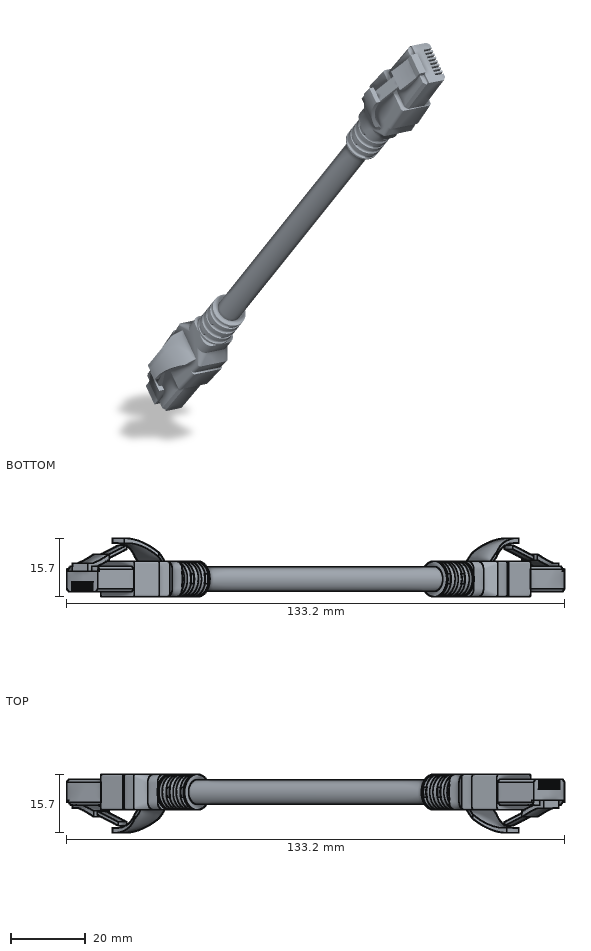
import cadquery as cq
import math

overall = 133.2
cable_radius = 3.3

plug_half_width = 5.9
plug_half_height = 3.5
plug_chamfer = 0.8
plug_end = overall / 2 * math.sqrt(2) - plug_half_width
plug_root_half_width = 6.1
end_step_length = 0.7
end_step_height = 1.3

contact_count = 8
contact_pitch = 1.0
contact_width = 0.5
contact_depth = 2.7
contact_length = 5.3

boot_half_height = 4.8
boot_end = 75.0
barb_start = 66.0
flare_end = 62.0
flare_start = 58.9
neck_start = 55.1
neck_half_width = 4.7
neck_radius = 2.3
flare_half_width = 6.8
barb_half_width = 6.9
boot_half_width = 6.4
boot_radius = 0.7

relief_start = 44.7
relief_radius = boot_half_height
first_groove = 45.3
groove_pitch = 2.7
groove_width = 1.2
groove_count = 4
web_width = 2.7
web_radius = 4.5

hood_root_start = 61.7
hood_root_end = 62.9
hood_outer_middle = (65.8, -8.5)
hood_inner_middle = (66.6, -7.9)
hood_inner_flat_start = 73.0
hood_tip = 74.6
hood_bottom = -10.9
hood_tip_thickness = 1.3
hood_root_half_width = 4.5
hood_taper_start = 63.9
hood_taper_middle = 68.2
hood_taper_middle_half_width = 2.9
hood_tip_half_width = 2.3

latch_half_width = 2.9
latch_nose = plug_end + 0.8
latch_root = -2.1
latch_root_start = 86.5
latch_bottom = -4.3
latch_swell_start = 87.0
latch_swell_middle = (83.9, -5.3)
latch_shoulder = 81.0
latch_shoulder_bottom = -6.7
latch_shoulder_top = -5.0
latch_inner_bend = (85.9, -3.2)
arm_half_width = 1.6
arm_thickness = 1.0
arm_start = 83.9
arm_start_top = -4.0
arm_end = 73.0
arm_end_top = -8.0


def x_cylinder(radius, start, end):
    return cq.Workplane("YZ").workplane(offset=start).circle(radius).extrude(end - start)


def box(start, end, half_height, half_width):
    size = (end - start, 2 * half_height, 2 * half_width)
    return cq.Workplane("XY").box(*size).translate(((start + end) / 2, 0, 0))


def side_profile(start):
    """Start an outline in the X-Y plane."""
    return cq.Workplane("XY").moveTo(*start)


def extrude_across(outline, half_width):
    return outline.close().extrude(half_width, both=True)


def boot_section(half_width, radius):
    return cq.Sketch().rect(2 * boot_half_height, 2 * half_width).vertices().fillet(radius)


def boot_segment(start, start_section, end, end_section):
    plane = cq.Workplane("YZ").workplane(offset=start)
    last = end_section.moved(cq.Location(cq.Vector(0, 0, end - start)))
    return plane.placeSketch(start_section, last).loft(ruled=True)


def make_boot():
    neck = boot_section(neck_half_width, neck_radius)
    flare = boot_section(flare_half_width, boot_radius)
    barb = boot_section(barb_half_width, boot_radius)
    mouth = boot_section(boot_half_width, boot_radius)
    boot = boot_segment(neck_start, neck, flare_start, neck)
    boot = boot.union(boot_segment(flare_start, neck, flare_end, flare))
    boot = boot.union(boot_segment(flare_end, flare, barb_start, mouth))
    return boot.union(boot_segment(barb_start, barb, boot_end, mouth))


def make_strain_relief():
    relief = x_cylinder(relief_radius, relief_start, neck_start)
    for index in range(groove_count):
        start = first_groove + index * groove_pitch
        end = start + groove_width
        webs_across = index % 2 == 0
        if webs_across:
            bridge = box(start, end, web_width / 2, relief_radius)
        else:
            bridge = box(start, end, relief_radius, web_width / 2)
        webs = x_cylinder(web_radius, start, end).intersect(bridge)
        groove = x_cylinder(relief_radius, start, end)
        core = x_cylinder(cable_radius, start, end)
        relief = relief.cut(groove).union(core).union(webs)
    return relief


def make_plug():
    plug = (
        cq.Workplane("XZ")
        .moveTo(barb_start, -plug_root_half_width)
        .lineTo(boot_end, -plug_root_half_width)
        .lineTo(plug_end, -plug_half_width)
        .lineTo(plug_end, plug_half_width)
        .lineTo(boot_end, plug_root_half_width)
        .lineTo(barb_start, plug_root_half_width)
        .close()
        .extrude(plug_half_height, both=True)
    )
    plug = plug.faces("<Y or >Y").edges("not |Z").chamfer(plug_chamfer)
    end_step = box(plug_end - end_step_length, plug_end, end_step_height, plug_half_width)
    plug = plug.cut(end_step.translate((0, -plug_half_height, 0)))
    slot = cq.Workplane("XY").box(contact_length, contact_depth, contact_width)
    for index in range(contact_count):
        z = (index - (contact_count - 1) / 2) * contact_pitch
        x = plug_end - contact_length / 2
        plug = plug.cut(slot.translate((x, plug_half_height - contact_depth / 2, z)))
    return plug


def make_hood():
    inner_bottom = hood_bottom + hood_tip_thickness
    root = -boot_half_height + boot_radius
    side = (
        side_profile((hood_root_start, root))
        .lineTo(hood_root_start, -boot_half_height)
        .threePointArc(hood_outer_middle, (hood_tip, hood_bottom))
        .lineTo(hood_tip, inner_bottom)
        .lineTo(hood_inner_flat_start, inner_bottom)
        .threePointArc(hood_inner_middle, (hood_root_end, -boot_half_height))
        .lineTo(hood_root_end, root)
    )
    shell = extrude_across(side, hood_root_half_width)
    plan = (
        cq.Workplane("XZ")
        .moveTo(hood_root_start, -hood_root_half_width)
        .lineTo(hood_taper_start, -hood_root_half_width)
        .threePointArc(
            (hood_taper_middle, -hood_taper_middle_half_width),
            (hood_tip, -hood_tip_half_width),
        )
        .lineTo(hood_tip, hood_tip_half_width)
        .threePointArc(
            (hood_taper_middle, hood_taper_middle_half_width),
            (hood_taper_start, hood_root_half_width),
        )
        .lineTo(hood_root_start, hood_root_half_width)
        .close()
        .extrude(-2 * hood_bottom, both=True)
    )
    return shell.intersect(plan)


def make_latch():
    nose = (
        side_profile((latch_root_start, latch_root))
        .lineTo(latch_nose, latch_root)
        .lineTo(latch_nose, latch_bottom)
        .lineTo(latch_swell_start, latch_bottom)
        .threePointArc(latch_swell_middle, (latch_shoulder, latch_shoulder_bottom))
        .lineTo(latch_shoulder, latch_shoulder_top)
        .lineTo(*latch_inner_bend)
    )
    arm = (
        side_profile((arm_start, arm_start_top))
        .lineTo(arm_end, arm_end_top)
        .lineTo(arm_end, arm_end_top - arm_thickness)
        .lineTo(arm_start, arm_start_top - arm_thickness)
    )
    return extrude_across(nose, latch_half_width).union(extrude_across(arm, arm_half_width))


def make_connector():
    connector = make_boot().union(make_strain_relief()).union(make_plug())
    return connector.union(make_hood()).union(make_latch())


y_axis = ((0, 0, 0), (0, 1, 0))
connector = make_connector()
cable = x_cylinder(cable_radius, -neck_start, neck_start)
assembly = cable.union(connector).union(connector.rotate(*y_axis, 180))

result = assembly.rotate(*y_axis, -45)